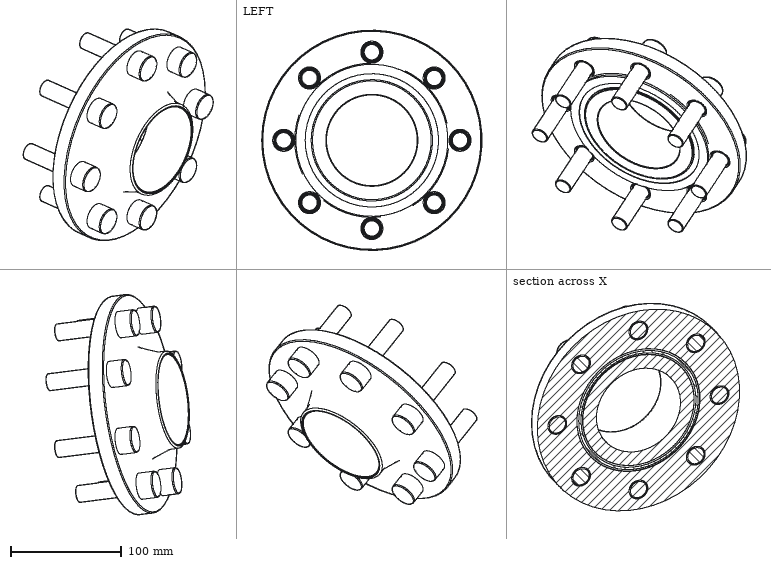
import cadquery as cq
import math


flange_diameter = 200.0
flange_thickness = 15.0
flange_chamfer = 1.0

spigot_diameter = 138.0
spigot_height = 3.0
spigot_fillet = 1.0

boss_diameter = 107.8
boss_height = 4.0

bore_diameter = 82.5
bore_chamfer = 0.5

neck_diameter = 89.0
neck_end = 47.0
neck_chamfer_length = 1.2
neck_chamfer_depth = 2.0

shoulder_angle = 20.0
shoulder_end = 37.2
shoulder_fillet = 5.5

ring_section = 5.5
ring_outer_diameter = 121.0
ring_inner_diameter = ring_outer_diameter - 2 * ring_section
groove_floor = ring_section - boss_height

bolt_count = 8
bolt_circle_diameter = 160.0
thread_diameter = 15.5
thread_length = 45.0
thread_chamfer_length = 0.5
thread_chamfer_depth = 0.8
shank_diameter = 18.0
shank_chamfer = 0.8
head_diameter = 24.0
head_height = 15.5
head_chamfer_length = 1.2
head_chamfer_depth = 0.5
hole_chamfer = 1.0

selection_margin = 0.02


def revolve_about_x(profile):
    """Close a profile given as (X, radius) points and revolve it about the X axis."""
    return profile.close().revolve(360, (0, 0, 0), (1, 0, 0))


def shoulder_radius(x):
    """Radius of the conical shoulder at the axial position x."""
    return neck_diameter / 2 + (shoulder_end - x) * math.tan(math.radians(shoulder_angle))


def bolt_positions():
    """List the (Y, Z) position of each bolt axis."""
    radius = bolt_circle_diameter / 2
    angles = [2 * math.pi * index / bolt_count for index in range(bolt_count)]
    return [(radius * math.cos(angle), radius * math.sin(angle)) for angle in angles]


def circular_edges(x, radius):
    """Selector for edges that lie at the axial position x, within the given radius."""
    reach = radius + selection_margin
    return cq.selectors.BoxSelector(
        (x - selection_margin, -reach, -reach),
        (x + selection_margin, reach, reach),
        boundingbox=True,
    )


def fillet_ring_edge(body, x, radius, fillet_radius):
    """Round the outermost circular edge at the axial position x."""
    edge = body.edges(circular_edges(x, radius)).edges(cq.selectors.RadiusNthSelector(-1))
    return edge.fillet(fillet_radius)


def make_hub_blank():
    """Revolved hub with sharp corners where its fillets will go."""
    bore_radius = bore_diameter / 2
    neck_radius = neck_diameter / 2
    flange_radius = flange_diameter / 2
    boss_radius = boss_diameter / 2
    spigot_radius = spigot_diameter / 2
    groove_inner_radius = ring_inner_diameter / 2
    groove_outer_radius = ring_outer_diameter / 2
    profile = (
        cq.Workplane("XY")
        .moveTo(-boss_height, bore_radius + bore_chamfer)
        .lineTo(-boss_height, boss_radius)
        .lineTo(-spigot_height, boss_radius)
        .lineTo(-spigot_height, groove_inner_radius)
        .lineTo(groove_floor, groove_inner_radius)
        .lineTo(groove_floor, groove_outer_radius)
        .lineTo(-spigot_height, groove_outer_radius)
        .lineTo(-spigot_height, spigot_radius)
        .lineTo(0, spigot_radius)
        .lineTo(0, flange_radius - flange_chamfer)
        .lineTo(flange_chamfer, flange_radius)
        .lineTo(flange_thickness - flange_chamfer, flange_radius)
        .lineTo(flange_thickness, flange_radius - flange_chamfer)
        .lineTo(flange_thickness, shoulder_radius(flange_thickness))
        .lineTo(shoulder_end, neck_radius)
        .lineTo(neck_end - neck_chamfer_length, neck_radius)
        .lineTo(neck_end, neck_radius - neck_chamfer_depth)
        .lineTo(neck_end, bore_radius + bore_chamfer)
        .lineTo(neck_end - bore_chamfer, bore_radius)
        .lineTo(-boss_height + bore_chamfer, bore_radius)
    )
    return revolve_about_x(profile)


def make_bolt_hole():
    """Cutter for a through hole in the flange, countersunk on the mounting face."""
    hole_radius = shank_diameter / 2
    profile = (
        cq.Workplane("XY")
        .lineTo(0, hole_radius + hole_chamfer)
        .lineTo(hole_chamfer, hole_radius)
        .lineTo(flange_thickness, hole_radius)
        .lineTo(flange_thickness, 0)
    )
    return revolve_about_x(profile)


def make_hub():
    """Hub with its fillets and bolt holes."""
    shoulder_base_radius = shoulder_radius(flange_thickness)
    body = make_hub_blank()
    body = fillet_ring_edge(body, 0, spigot_diameter / 2, spigot_fillet)
    body = fillet_ring_edge(body, flange_thickness, shoulder_base_radius, shoulder_fillet)
    body = fillet_ring_edge(body, shoulder_end, neck_diameter / 2, shoulder_fillet)
    for y, z in bolt_positions():
        body = body.cut(make_bolt_hole().translate((0, y, z)))
    return body


def make_o_ring():
    """Torus seated on the groove floor."""
    section_radius = ring_section / 2
    center_radius = ring_outer_diameter / 2 - section_radius
    section = cq.Workplane("XY").center(groove_floor - section_radius, center_radius).circle(section_radius)
    return section.revolve(360, (0, -center_radius, 0), (1, -center_radius, 0))


def make_bolt():
    """Bolt on the X axis: thread, thicker shank that fills the hole, and round head."""
    thread_radius = thread_diameter / 2
    shank_radius = shank_diameter / 2
    head_radius = head_diameter / 2
    shank_start = hole_chamfer
    head_end = flange_thickness + head_height
    profile = (
        cq.Workplane("XY")
        .moveTo(-thread_length, 0)
        .lineTo(-thread_length, thread_radius - thread_chamfer_depth)
        .lineTo(-thread_length + thread_chamfer_length, thread_radius)
        .lineTo(shank_start, thread_radius)
        .lineTo(shank_start, shank_radius - shank_chamfer)
        .lineTo(shank_start + shank_chamfer, shank_radius)
        .lineTo(flange_thickness, shank_radius)
        .lineTo(flange_thickness, head_radius)
        .lineTo(head_end - head_chamfer_length, head_radius)
        .lineTo(head_end, head_radius - head_chamfer_depth)
        .lineTo(head_end, 0)
    )
    return revolve_about_x(profile)


hub = make_hub()
o_ring = make_o_ring()
bolts = [make_bolt().translate((0, y, z)) for y, z in bolt_positions()]

result = cq.Compound.makeCompound([hub.val(), o_ring.val(), *[bolt.val() for bolt in bolts]])